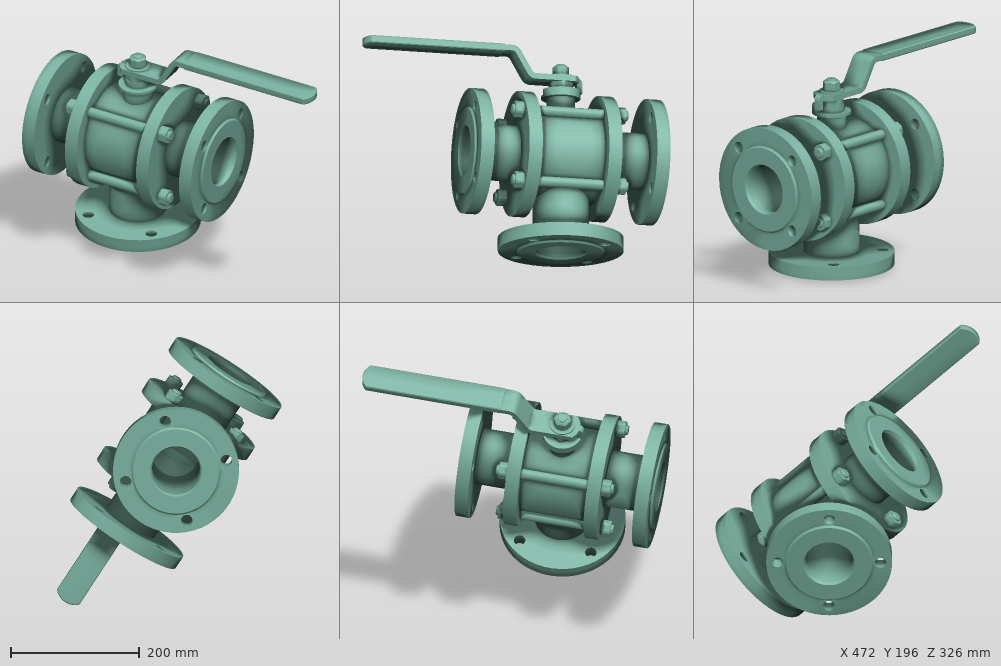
import cadquery as cq
import math


port_reach = 155.0
raised_height = 3.5
raised_diameter = 133.0
raised_base_diameter = 139.0
flange_diameter = 196.0
flange_thickness = 21.2
pipe_diameter = 88.0
bore_diameter = 76.0
branch_bore_diameter = 75.0
bore_mouth_diameter = 80.0
bore_mouth_depth = 5.5
bore_overrun = 3.0
drill_point_angle = 118
body_diameter = 145.0
clamp_inner_x = 53.5

bolt_circle_diameter = 160.0
bolt_angle = 45
bolt_hole_diameter = 18.0
rod_diameter = 16.0
thread_diameter = rod_diameter
thread_chamfer = 1.5
thread_stickout = 4.2
nut_height = 14.0
nut_flats = 24.5
nut_corner_diameter = 26.5
nut_chamfer = 1.0
nut_turn = 30
crown_bottom_diameter = 24.0
crown_top_diameter = 20.0
crown_height = 2.0

boss_diameter = 45.0
boss_top = 92.0
collar_diameter = 61.0
collar_thickness = 4.2
stop_height = 9.0
stem_diameter = 38.0
stem_flats = 35.0
washer_thickness = 2.5

lever_bottom = 117.5
lever_thickness = 9.0
lever_width = 40.0
lever_end_radius = 28.0
lever_corner_radius = 2.5
lever_rise = 43.0
crank_start_x = 44.5
crank_angle = 60
crank_inner_radius = 7.0
tab_outer_x = -33.5
tab_width = 10.5
tab_bottom = 103.0
tab_bend_radius = 8.5
grip_start_x = 94.5
grip_end_x = 317.0
grip_width = 41.5
grip_thickness = 12.0
grip_end_sagitta = 9.0
grip_corner_radius = 4.0
grip_edge_chamfer = 1.5

flange_outer = port_reach - raised_height
flange_inner = flange_outer - flange_thickness
clamp_outer_x = clamp_inner_x + flange_thickness
bolt_offset = bolt_circle_diameter / 2 * math.sin(math.radians(bolt_angle))
bolt_places = [(sx * bolt_offset, sy * bolt_offset) for sx in (-1, 1) for sy in (-1, 1)]
collar_top = boss_top + collar_thickness
stop_top = collar_top + stop_height
lever_top = lever_bottom + lever_thickness
washer_top = lever_top + washer_thickness


def cylinder(diameter, start, end):
    """Cylinder on the Z axis between two heights."""
    return cq.Workplane("XY").workplane(offset=start).circle(diameter / 2).extrude(end - start)


def cone(bottom_diameter, top_diameter, start, end):
    """Truncated cone on the Z axis between two heights."""
    solid = cq.Solid.makeCone(bottom_diameter / 2, top_diameter / 2, end - start)
    return cq.Workplane(solid).translate((0, 0, start))


def to_left(shape):
    """Turn a shape built along +Z so that it points along -X."""
    return shape.rotate((0, 0, 0), (0, 1, 0), -90)


def to_right(shape):
    """Turn a shape built along +Z so that it points along +X."""
    return shape.rotate((0, 0, 0), (0, 1, 0), 90)


def to_bottom(shape):
    """Turn a shape built along +Z so that it points along -Z."""
    return shape.rotate((0, 0, 0), (1, 0, 0), 180)


def port():
    """Solid pipe with its drilled end flange and raised face, along +Z."""
    holes = (
        cq.Workplane("XY").workplane(offset=flange_inner)
        .pushPoints(bolt_places).circle(bolt_hole_diameter / 2).extrude(flange_thickness)
    )
    return (
        cylinder(pipe_diameter, 0, flange_outer)
        .union(cylinder(flange_diameter, flange_inner, flange_outer).cut(holes))
        .union(cone(raised_base_diameter, raised_diameter, flange_outer, port_reach))
    )


def port_bore(diameter, start):
    """Bore along +Z with a flared mouth at the raised face."""
    mouth = cone(diameter, bore_mouth_diameter, port_reach - bore_mouth_depth, port_reach)
    return cylinder(diameter, start, port_reach).union(mouth)


def nut_on_thread(seat):
    """Hexagon nut with rounded corners on a chamfered thread end, along +Z from its seat."""
    nut_top = seat + nut_height
    hexagon = (
        cq.Workplane("XY").workplane(offset=seat)
        .polygon(6, nut_flats, circumscribed=True).extrude(nut_height)
        .rotate((0, 0, 0), (0, 0, 1), nut_turn)
    )
    rounding = cylinder(nut_corner_diameter, seat, nut_top).edges().chamfer(nut_chamfer)
    thread = cylinder(thread_diameter, seat, nut_top + thread_stickout)
    return hexagon.intersect(rounding).union(thread.faces(">Z").chamfer(thread_chamfer))


def clamp_side():
    """Clamp flange with its four nuts, along +Z."""
    side = cylinder(flange_diameter, clamp_inner_x, clamp_outer_x)
    for x, y in bolt_places:
        side = side.union(nut_on_thread(clamp_outer_x).translate((x, y, 0)))
    return side


def body():
    """Central drum with the four tie rods running beside it."""
    drum = cylinder(body_diameter, -clamp_inner_x, clamp_inner_x)
    for x, y in bolt_places:
        drum = drum.union(cylinder(rod_diameter, -clamp_inner_x, clamp_inner_x).translate((x, y, 0)))
    return to_right(drum)


def stem():
    """Boss, collar with its stop segment, hexagonal stem, washer and crowned top nut."""
    stop_box = (
        cq.Workplane("XY").workplane(offset=collar_top)
        .center(0, tab_width / 2 + collar_diameter / 2)
        .rect(collar_diameter, collar_diameter).extrude(stop_height)
    )
    stop = cylinder(collar_diameter, collar_top, stop_top).intersect(stop_box)
    hexagon = (
        cq.Workplane("XY").workplane(offset=stop_top)
        .polygon(6, stem_flats, circumscribed=True).extrude(lever_top - stop_top)
    )
    nut_top = washer_top + nut_height
    crown = cone(crown_bottom_diameter, crown_top_diameter, nut_top, nut_top + crown_height)
    return (
        cylinder(boss_diameter, 0, boss_top)
        .union(cylinder(collar_diameter, boss_top, collar_top))
        .union(stop)
        .union(cylinder(stem_diameter, collar_top, stop_top))
        .union(hexagon.intersect(cylinder(stem_diameter, stop_top, lever_top)))
        .union(cylinder(stem_diameter, lever_top, washer_top))
        .union(nut_on_thread(washer_top))
        .union(crown)
    )


def lever_plate():
    """Flat strip with a rounded end at the stem, cranked upwards towards the grip."""
    angle = math.radians(crank_angle)
    radius = crank_inner_radius + lever_thickness / 2
    low_z = lever_bottom + lever_thickness / 2
    high_z = low_z + lever_rise
    bend_x = radius * math.sin(angle)
    bend_z = radius * (1 - math.cos(angle))
    slope_rise = lever_rise - 2 * bend_z
    slope_run = slope_rise / math.tan(angle)
    slope_start = (crank_start_x + bend_x, low_z + bend_z)
    slope_end = (slope_start[0] + slope_run, high_z - bend_z)
    crank = (
        cq.Workplane("XZ").moveTo(0, low_z)
        .lineTo(crank_start_x, low_z)
        .tangentArcPoint(slope_start, relative=False)
        .lineTo(*slope_end)
        .tangentArcPoint((slope_end[0] + bend_x, high_z), relative=False)
        .lineTo(grip_start_x, high_z)
    )
    strip = (
        cq.Workplane("YZ").center(0, low_z)
        .rect(lever_width, lever_thickness).sweep(crank)
    )
    end_strip = (
        cq.Workplane("XY").workplane(offset=lever_bottom)
        .center(-lever_end_radius / 2, 0)
        .rect(lever_end_radius, lever_width).extrude(lever_thickness)
    )
    rounded_end = end_strip.intersect(cylinder(2 * lever_end_radius, lever_bottom, lever_top))
    return strip.union(rounded_end.edges("|Z").edges("<X").fillet(lever_corner_radius))


def lever_tab():
    """Narrow tab bent down from the lever end to meet the stop."""
    inner_x = tab_outer_x + lever_thickness
    outline = (
        cq.Workplane("XZ").moveTo(0, lever_top)
        .lineTo(tab_outer_x + tab_bend_radius, lever_top)
        .radiusArc((tab_outer_x, lever_top - tab_bend_radius), -tab_bend_radius)
        .lineTo(tab_outer_x, tab_bottom)
        .lineTo(inner_x, tab_bottom)
        .lineTo(inner_x, lever_bottom)
        .lineTo(0, lever_bottom)
        .close()
    )
    return outline.extrude(tab_width / 2, both=True)


def grip():
    """Sleeve over the lever with a bowed far end and softened edges."""
    half_width = grip_width / 2
    middle_z = lever_bottom + lever_rise + lever_thickness / 2
    bow_x = grip_end_x - grip_end_sagitta
    return (
        cq.Workplane("XY").workplane(offset=middle_z - grip_thickness / 2)
        .moveTo(grip_start_x, -half_width)
        .lineTo(bow_x, -half_width)
        .threePointArc((grip_end_x, 0), (bow_x, half_width))
        .lineTo(grip_start_x, half_width)
        .close().extrude(grip_thickness)
        .edges("|Z").edges(">X").fillet(grip_corner_radius)
        .faces("<Z or >Z").edges("not <X").chamfer(grip_edge_chamfer)
    )


def drilled_bore(diameter):
    """Port bore along +Z that runs just past the crossing point and ends in a drill point."""
    point_height = diameter / 2 / math.tan(math.radians(drill_point_angle / 2))
    point = cone(0, diameter, -bore_overrun - point_height, -bore_overrun)
    return port_bore(diameter, -bore_overrun).union(point)


def flow_passage():
    """Open way from the left port round to the branch, and the closed right port."""
    return (
        to_left(drilled_bore(bore_diameter))
        .union(to_bottom(drilled_bore(branch_bore_diameter)))
        .union(to_right(port_bore(bore_diameter, clamp_inner_x)))
    )


result = (
    body()
    .union(to_left(port().union(clamp_side())))
    .union(to_right(port().union(clamp_side())))
    .union(to_bottom(port()))
    .union(stem())
    .cut(flow_passage())
    .union(lever_plate())
    .union(lever_tab())
    .union(grip())
)